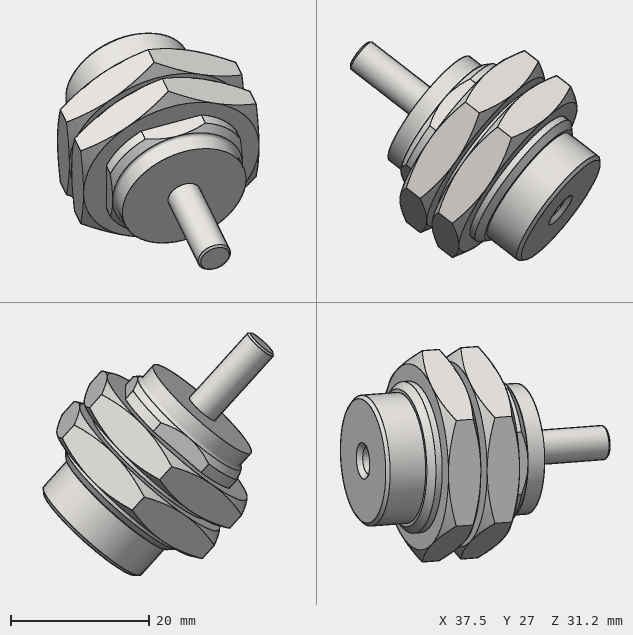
import cadquery as cq
import math

total_length = 37.5
housing_length = 24.5
port_face_x = -total_length / 2

barrel_radius = 22.0 / 2
spigot_radius = 19.0 / 2
spigot_chamfer = 0.5
barrel_start = 6.0
barrel_end = 21.7
barrel_chamfer = 1.0
barrel_fillet = 0.45

flats_across = 20.0

nut_across_flats = 27.0
nut_across_corners = nut_across_flats / math.cos(math.pi / 6)
nut_width = 5.02
nut_gap = 0.98
first_nut_start = 8.0
nut_chamfer_angle = math.radians(30)
nut_starts = [first_nut_start, first_nut_start + nut_width + nut_gap]
nuts_end = nut_starts[-1] + nut_width

port_radius = 3.9 / 2
port_mouth_radius = 5.32 / 2
port_countersink = port_mouth_radius - port_radius
port_depth = barrel_start

rod_radius = 5.0 / 2
rod_length = total_length - housing_length
rod_chamfer = 0.3


def section_plane(distance):
    """YZ workplane facing +X at a distance from the port face."""
    return cq.Workplane("YZ", origin=(port_face_x + distance, 0, 0))


def revolve_about_axis(outline):
    """Solid of revolution of a closed (axial, radial) outline about the X axis."""
    return outline.close().revolve(360, (0, 0, 0), (1, 0, 0))


def make_barrel():
    fillet_drop = barrel_fillet * (1 - math.cos(math.pi / 4))
    outline = (
        cq.Workplane("XY", origin=(port_face_x, 0, 0))
        .lineTo(0, spigot_radius - spigot_chamfer)
        .lineTo(spigot_chamfer, spigot_radius)
        .lineTo(barrel_start, spigot_radius)
        .lineTo(barrel_start, barrel_radius - barrel_chamfer)
        .lineTo(barrel_start + barrel_chamfer, barrel_radius)
        .lineTo(barrel_end - barrel_chamfer, barrel_radius)
        .lineTo(barrel_end, barrel_radius - barrel_chamfer)
        .lineTo(barrel_end, spigot_radius + barrel_fillet)
        .threePointArc(
            (barrel_end + fillet_drop, spigot_radius + fillet_drop),
            (barrel_end + barrel_fillet, spigot_radius),
        )
        .lineTo(housing_length, spigot_radius)
        .lineTo(housing_length, 0)
    )
    return revolve_about_axis(outline)


def cut_wrench_flats(barrel):
    length = barrel_end - nuts_end
    blank = section_plane(nuts_end).rect(nut_across_flats, nut_across_flats).extrude(length)
    square = section_plane(nuts_end).rect(flats_across, flats_across).extrude(length)
    return barrel.cut(blank.cut(square))


def make_nut(start):
    """Hex nut with corners on +Z and -Z, both faces chamfered down to the flats."""
    hexagon = (
        section_plane(start)
        .transformed(rotate=(0, 0, 90))
        .polygon(6, nut_across_corners)
        .extrude(nut_width)
    )
    flat_radius = nut_across_flats / 2
    corner_radius = nut_across_corners / 2
    chamfer_length = (corner_radius - flat_radius) * math.tan(nut_chamfer_angle)
    envelope = (
        cq.Workplane("XY", origin=(port_face_x + start, 0, 0))
        .lineTo(0, flat_radius)
        .lineTo(chamfer_length, corner_radius)
        .lineTo(nut_width - chamfer_length, corner_radius)
        .lineTo(nut_width, flat_radius)
        .lineTo(nut_width, 0)
    )
    return hexagon.intersect(revolve_about_axis(envelope))


def make_port():
    outline = (
        cq.Workplane("XY", origin=(port_face_x, 0, 0))
        .lineTo(0, port_mouth_radius)
        .lineTo(port_countersink, port_radius)
        .lineTo(port_depth, port_radius)
        .lineTo(port_depth, 0)
    )
    return revolve_about_axis(outline)


def make_housing():
    housing = cut_wrench_flats(make_barrel())
    for start in nut_starts:
        housing = housing.union(make_nut(start))
    return housing.cut(make_port())


def make_rod():
    rod = section_plane(housing_length).circle(rod_radius).extrude(rod_length)
    return rod.faces(">X").chamfer(rod_chamfer)


housing = make_housing()
rod = make_rod()

result = cq.Compound.makeCompound([housing.val(), rod.val()])